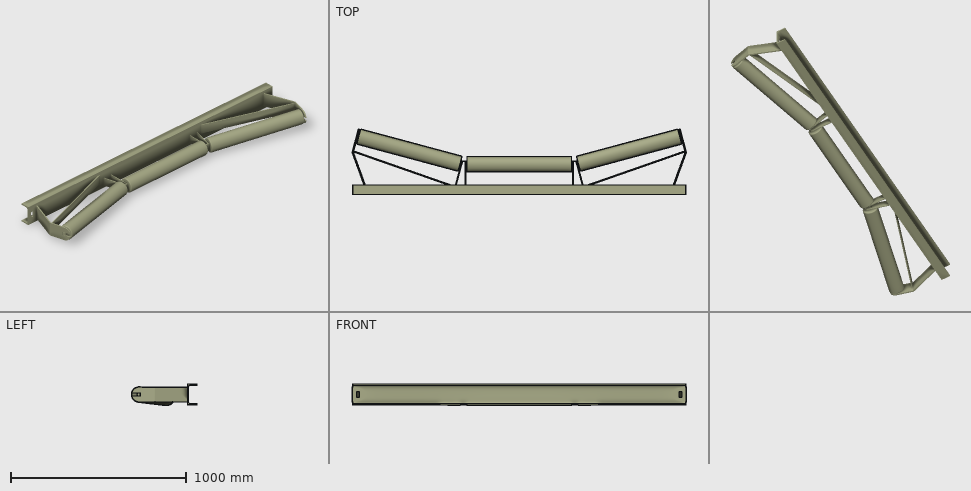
import cadquery as cq
import math

BEAM_LENGTH = 1900.0
BEAM_HEIGHT = 120.0
BEAM_DEPTH = 55.0
WEB_THICKNESS = 7.0
FLANGE_THICKNESS = 8.0
ROOT_RADIUS = 10.5
BOLT_SLOT_WIDTH = 17.0
BOLT_SLOT_HEIGHT = 36.0
BOLT_SLOT_FROM_END = 30.0

ROLLER_DIAMETER = 90.0
ROLLER_LENGTH = 598.0
ROLLER_EDGE_RADIUS = 5.0
SHAFT_SIZE = 17.0
SHAFT_CLEARANCE = 2.0
END_GAP = 5.0
CENTRE_ROLLER_Y = 118.0
CENTRE_ROLLER_Z = -20.0
TROUGH_ANGLE = 15
FORWARD_TILT = 1.8

INNER_THICKNESS = 4.8
INNER_WIDTH = 50.0
INNER_TOP_Y = 137.0
WING_LEG_X = 330.0

OUTER_THICKNESS = 8.0
OUTER_WIDTH = 84.0
OUTER_BEND_Y = 185.0
OUTER_BEND_RADIUS = 10.0
OUTER_FOOT_X = 886.0

BRACE_THICKNESS = 5.0
BRACE_WIDTH = 57.0
BRACE_Z = 10.0
BRACE_TOP_Y = 190.0
BRACE_FOOT_X = 400.0

TROUGH = math.radians(TROUGH_ANGLE)
COS, SIN = math.cos(TROUGH), math.sin(TROUGH)
HOLE_SIZE = SHAFT_SIZE + SHAFT_CLEARANCE
WING_START = INNER_THICKNESS / 2 + END_GAP
OUTER_FACE = WING_START + ROLLER_LENGTH + END_GAP + OUTER_THICKNESS
UPRIGHT_X = ROLLER_LENGTH / 2 + END_GAP


def wing_point(distance):
    """Point in XY on the wing axis, measured from the mid-plane of the wing leg."""
    return (WING_LEG_X + distance * COS, CENTRE_ROLLER_Y + distance * SIN)


def wing_plane(distance):
    """Plane square to the untilted wing axis: local x up the bracket, local y along Z."""
    x, y = wing_point(distance)
    return cq.Plane(origin=(x, y, 0), xDir=(-SIN, COS, 0), normal=(COS, SIN, 0))


def make_beam():
    web_front = -WEB_THICKNESS
    half = BEAM_HEIGHT / 2
    inner = half - FLANGE_THICKNESS
    beam = (
        cq.Workplane("YZ")
        .polyline([
            (0, -half), (-BEAM_DEPTH, -half), (-BEAM_DEPTH, -inner), (web_front, -inner),
            (web_front, inner), (-BEAM_DEPTH, inner), (-BEAM_DEPTH, half), (0, half),
        ])
        .close()
        .extrude(BEAM_LENGTH / 2, both=True)
    )
    roots = cq.selectors.BoxSelector(
        (-BEAM_LENGTH, web_front - ROOT_RADIUS, -half), (BEAM_LENGTH, web_front / 2, half)
    )
    beam = beam.edges("|X").edges(roots).fillet(ROOT_RADIUS)
    slot_x = BEAM_LENGTH / 2 - BOLT_SLOT_FROM_END
    slots = (
        cq.Workplane("XZ")
        .pushPoints([(-slot_x, 0), (slot_x, 0)])
        .slot2D(BOLT_SLOT_HEIGHT, BOLT_SLOT_WIDTH, 90)
        .extrude(WEB_THICKNESS)
    )
    return beam.cut(slots)


def make_roller(shaft_start, shaft_end):
    """Roller along +X with its near face at X = 0, and square shaft ends reaching past both faces."""
    shell = cq.Workplane("YZ").circle(ROLLER_DIAMETER / 2).extrude(ROLLER_LENGTH)
    shell = shell.faces("<X or >X").edges().fillet(ROLLER_EDGE_RADIUS)
    shaft = (
        cq.Workplane("YZ", origin=(-shaft_start, 0, 0))
        .rect(SHAFT_SIZE, SHAFT_SIZE)
        .extrude(shaft_start + ROLLER_LENGTH + shaft_end)
    )
    return shell.union(shaft)


def make_centre_roller():
    reach = END_GAP + INNER_THICKNESS
    roller = make_roller(reach, reach)
    return roller.translate((-ROLLER_LENGTH / 2, CENTRE_ROLLER_Y, CENTRE_ROLLER_Z))


def make_wing_roller():
    roller = make_roller(END_GAP + INNER_THICKNESS, END_GAP + OUTER_THICKNESS)
    roller = roller.rotate((0, 0, 0), (0, 1, 0), -FORWARD_TILT)
    roller = roller.rotate((0, 0, 0), (0, 0, 1), TROUGH_ANGLE)
    x, y = wing_point(WING_START)
    return roller.translate((x, y, CENTRE_ROLLER_Z))


def make_inner_bracket():
    upright_far = UPRIGHT_X + INNER_THICKNESS
    under_top = INNER_TOP_Y - INNER_THICKNESS

    def leg_x(y, side):
        """X of a face of the wing leg at a height Y: side is -1 for the near face, 1 for the far."""
        return WING_LEG_X - (y - CENTRE_ROLLER_Y) * SIN / COS + side * INNER_THICKNESS / 2 / COS

    bracket = (
        cq.Workplane("XY", origin=(0, 0, CENTRE_ROLLER_Z))
        .polyline([
            (UPRIGHT_X, 0), (UPRIGHT_X, INNER_TOP_Y), (leg_x(INNER_TOP_Y, 1), INNER_TOP_Y),
            (leg_x(0, 1), 0), (leg_x(0, -1), 0), (leg_x(under_top, -1), under_top),
            (upright_far, under_top), (upright_far, 0),
        ])
        .close()
        .extrude(INNER_WIDTH / 2, both=True)
    )
    upright_hole = (
        cq.Workplane("YZ", origin=(UPRIGHT_X, CENTRE_ROLLER_Y, CENTRE_ROLLER_Z))
        .rect(HOLE_SIZE, HOLE_SIZE)
        .extrude(INNER_THICKNESS)
    )
    leg_hole = (
        cq.Workplane(wing_plane(-INNER_THICKNESS / 2))
        .center(0, CENTRE_ROLLER_Z)
        .rect(HOLE_SIZE, HOLE_SIZE)
        .extrude(INNER_THICKNESS)
    )
    return bracket.cut(upright_hole).cut(leg_hole)


TIP_X, TIP_Y = wing_point(OUTER_FACE)
BEND_X = TIP_X + (TIP_Y - OUTER_BEND_Y) * SIN / COS
FOOT_LEAN = math.atan2(BEND_X - OUTER_FOOT_X, OUTER_BEND_Y)
HALF_BEND = (TROUGH + FOOT_LEAN) / 2
MITER_ANGLE = (TROUGH - FOOT_LEAN) / 2
MITER = OUTER_THICKNESS / math.cos(HALF_BEND)
INNER_BEND = (BEND_X - MITER * math.cos(MITER_ANGLE), OUTER_BEND_Y - MITER * math.sin(MITER_ANGLE))


def make_outer_bracket():
    strip = (
        cq.Workplane("XY")
        .polyline([
            (OUTER_FOOT_X, 0), (BEND_X, OUTER_BEND_Y), (TIP_X, TIP_Y),
            wing_point(OUTER_FACE - OUTER_THICKNESS), INNER_BEND,
            (OUTER_FOOT_X - OUTER_THICKNESS / math.cos(FOOT_LEAN), 0),
        ])
        .close()
        .extrude(OUTER_WIDTH / 2, both=True)
    )
    bend_edge = cq.selectors.NearestToPointSelector((BEND_X, OUTER_BEND_Y, 0))
    strip = strip.edges(bend_edge).fillet(OUTER_BEND_RADIUS)
    plane = wing_plane(OUTER_FACE - OUTER_THICKNESS)
    round_end = cq.Workplane(plane).circle(OUTER_WIDTH / 2).extrude(OUTER_THICKNESS)
    slot = (
        cq.Workplane(plane)
        .center(OUTER_WIDTH / 2 - HOLE_SIZE / 2, 0)
        .rect(OUTER_WIDTH, HOLE_SIZE)
        .extrude(OUTER_THICKNESS)
    )
    return strip.union(round_end).cut(slot)


def make_brace(outer_bracket):
    top_x = BEND_X - MITER
    lean = math.atan2(BRACE_TOP_Y, top_x - BRACE_FOOT_X)
    foot_half = BRACE_THICKNESS / math.sin(lean) / 2
    top_half = BRACE_THICKNESS / math.cos(lean) / 2
    brace = (
        cq.Workplane("XY", origin=(0, 0, BRACE_Z))
        .polyline([
            (BRACE_FOOT_X - foot_half, 0), (BRACE_FOOT_X + foot_half, 0),
            (top_x, BRACE_TOP_Y - top_half), (top_x, BRACE_TOP_Y + top_half),
        ])
        .close()
        .extrude(BRACE_WIDTH / 2, both=True)
    )
    return brace.cut(outer_bracket)


beam = make_beam()
centre_roller = make_centre_roller()
outer_bracket = make_outer_bracket()
right_side = [make_wing_roller(), make_inner_bracket(), outer_bracket, make_brace(outer_bracket)]
left_side = [body.mirror("YZ") for body in right_side]

result = cq.Compound.makeCompound(
    [beam.val(), centre_roller.val()] + [body.val() for body in right_side + left_side]
)